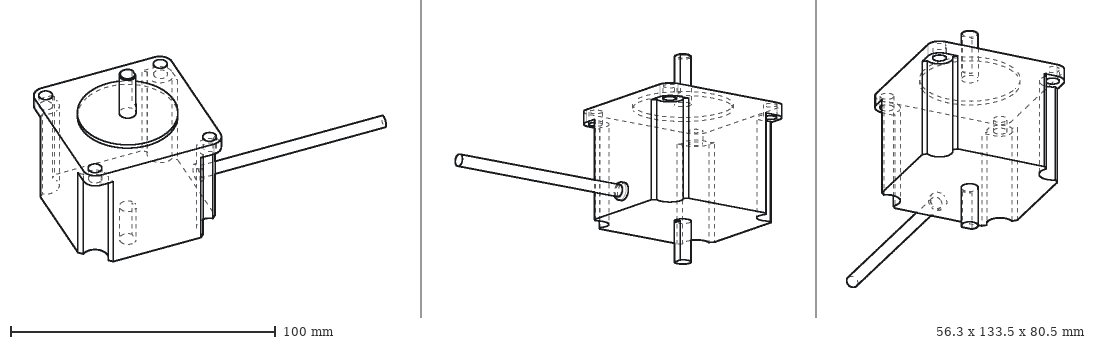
import cadquery as cq


side = 56.3
body_top = 44.0
flange_thickness = 5.0
flange_corner_radius = 5.0
hole_spacing = 47.1
hole_diameter = 5.2

flat_face_width = 36.0
relief_radius = 5.1

pilot_diameter = 38.0
pilot_height = 1.6

shaft_diameter = 6.4
upper_shaft_length = 20.5
lower_shaft_length = 16.0
shaft_chamfer = 0.4
flat_depth = 0.7
upper_flat_length = 15.1
lower_flat_length = 15.4

total_depth = 133.5
cable_diameter = 4.7
cable_height = 7.1
grommet_diameter = 7.0
grommet_length = 2.0
grommet_fillet = 0.8

body_height = body_top - flange_thickness
shaft_top = body_top + upper_shaft_length
shaft_bottom = -lower_shaft_length
back_face = side / 2
cable_length = total_depth - side


def make_body():
    bevel = (side - flat_face_width) / 2
    body = cq.Workplane("XY").rect(side, side).extrude(body_height).edges("|Z").chamfer(bevel)
    grooves = (
        cq.Workplane("XY")
        .rect(hole_spacing, hole_spacing, forConstruction=True)
        .vertices()
        .circle(relief_radius)
        .extrude(body_height)
    )
    return body.cut(grooves)


def make_flange():
    flange = (
        cq.Workplane("XY", origin=(0, 0, body_height))
        .rect(side, side)
        .extrude(flange_thickness)
        .edges("|Z")
        .fillet(flange_corner_radius)
    )
    return (
        flange.faces(">Z")
        .workplane()
        .rect(hole_spacing, hole_spacing, forConstruction=True)
        .vertices()
        .hole(hole_diameter)
    )


def make_pilot():
    return cq.Workplane("XY", origin=(0, 0, body_top)).circle(pilot_diameter / 2).extrude(pilot_height)


def make_flat_cutter(bottom, length):
    """Block that removes the +Y edge of the shaft from the given height upwards."""
    return (
        cq.Workplane("XY", origin=(0, shaft_diameter / 2, bottom))
        .rect(shaft_diameter, 2 * flat_depth)
        .extrude(length)
    )


def make_shaft():
    shaft = (
        cq.Workplane("XY", origin=(0, 0, shaft_bottom))
        .circle(shaft_diameter / 2)
        .extrude(shaft_top - shaft_bottom)
        .faces(">Z")
        .chamfer(shaft_chamfer)
    )
    upper_cutter = make_flat_cutter(shaft_top - upper_flat_length, upper_flat_length)
    lower_cutter = make_flat_cutter(shaft_bottom, lower_flat_length)
    return shaft.cut(upper_cutter).cut(lower_cutter)


def make_rear_cylinder(diameter, length):
    """Round bar standing out of the +Y face at the cable height."""
    plane = cq.Workplane("XZ", origin=(0, back_face, cable_height))
    return plane.circle(diameter / 2).extrude(-length)


def make_cable():
    grommet = make_rear_cylinder(grommet_diameter, grommet_length).faces(">Y").edges().fillet(grommet_fillet)
    return grommet.union(make_rear_cylinder(cable_diameter, cable_length))


result = make_body().union(make_flange()).union(make_pilot()).union(make_shaft()).union(make_cable())